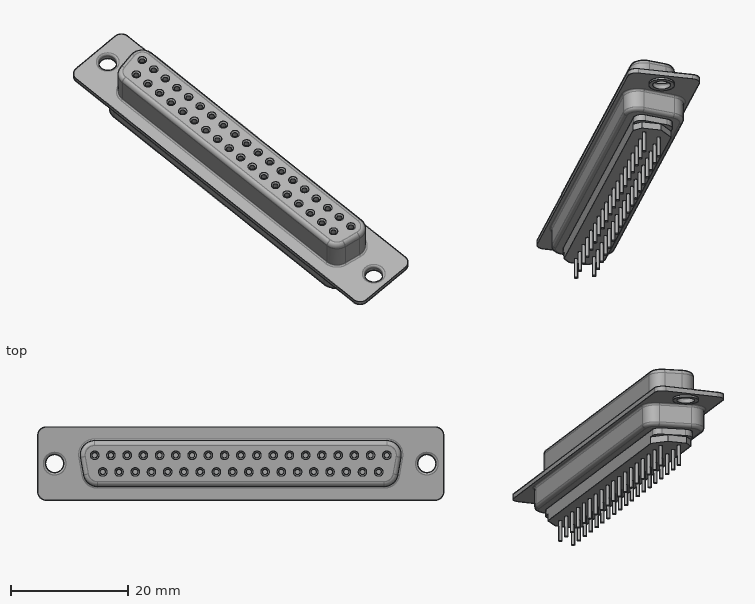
import cadquery as cq
import math

flange_length = 69.3
flange_width = 12.55
flange_thickness = 0.8
flange_corner_radius = 1.5

front_bend_radius = 0.3
rear_bend_radius = 0.35

mount_spacing = 63.5
mount_hole_diameter = 3.05
mount_mouth_radius = 0.4
collar_diameter = 4.4
collar_height = rear_bend_radius

end_slant = math.radians(10)

front_half_length = 27.4
front_width = 7.8
front_corner_radius = 2.4
front_height = 5.8
front_rim_radius = 0.8

rear_half_length = 28.6
rear_width = 10.7
rear_corner_radius = 2.55
rear_depth = 4.8
rear_rim_radius = 0.6

step_half_length = 27.1
step_width = 6.9
step_corner_radius = 1.45
step_depth = 5.9
base_half_length = 26.5
base_depth = 7.1
base_front_chamfer = 2.3
base_back_chamfer = 1.25

back_row_length = 49.85
back_row_count = 19
row_spacing = 2.85
contact_pitch = back_row_length / (back_row_count - 1)
front_row_count = back_row_count - 1
socket_mouth_diameter = 1.45
socket_diameter = 0.9
socket_mouth_angle = 90
socket_depth = 1.4
pin_diameter = 0.595
pin_tip_depth = 10.6
pin_overlap = 0.35

select_margin = 0.1


def d_prism(half_length, width, corner_radius, height):
    """D-shaped prism from Z = 0 up to height (downward when height is negative)."""
    back_centre_x = half_length - corner_radius
    centre_y = width / 2 - corner_radius
    front_centre_x = back_centre_x - 2 * centre_y * math.tan(end_slant)
    normal_x = corner_radius * math.cos(end_slant)
    normal_y = corner_radius * math.sin(end_slant)
    back_mid = (math.pi / 2 - end_slant) / 2
    front_mid = -(math.pi / 2 + end_slant) / 2

    def on_corner(centre_x, corner_y, angle):
        return (centre_x + corner_radius * math.cos(angle), corner_y + corner_radius * math.sin(angle))

    def mirrored(point):
        return (-point[0], point[1])

    back_top = (back_centre_x, width / 2)
    back_arc = on_corner(back_centre_x, centre_y, back_mid)
    back_end = (back_centre_x + normal_x, centre_y - normal_y)
    front_end = (front_centre_x + normal_x, -centre_y - normal_y)
    front_arc = on_corner(front_centre_x, -centre_y, front_mid)
    front_bottom = (front_centre_x, -width / 2)
    return (
        cq.Workplane("XY")
        .moveTo(*mirrored(back_top))
        .lineTo(*back_top)
        .threePointArc(back_arc, back_end)
        .lineTo(*front_end)
        .threePointArc(front_arc, front_bottom)
        .lineTo(*mirrored(front_bottom))
        .threePointArc(mirrored(front_arc), mirrored(front_end))
        .lineTo(*mirrored(back_end))
        .threePointArc(mirrored(back_arc), mirrored(back_top))
        .close()
        .extrude(height)
    )


def contact_points():
    """Contact centres of both rows."""
    points = []
    for count, y in ((back_row_count, row_spacing / 2), (front_row_count, -row_spacing / 2)):
        first_x = -(count - 1) * contact_pitch / 2
        points += [(first_x + i * contact_pitch, y) for i in range(count)]
    return points


def flange_plate():
    """Rounded flange with a collar and a round-mouthed hole at each end."""
    mount_points = [(-mount_spacing / 2, 0), (mount_spacing / 2, 0)]
    collar_depth = flange_thickness + collar_height
    plate = cq.Workplane("XY").rect(flange_length, flange_width).extrude(-flange_thickness)
    collars = cq.Workplane("XY").pushPoints(mount_points).circle(collar_diameter / 2).extrude(-collar_depth)
    holes = cq.Workplane("XY").pushPoints(mount_points).circle(mount_hole_diameter / 2).extrude(-collar_depth)
    drilled = plate.union(collars).cut(holes)
    mouthed = drilled.faces(">Z").edges("%CIRCLE").fillet(mount_mouth_radius)
    corner_edges = mouthed.edges("|Z and (<X or >X)")
    return corner_edges.fillet(flange_corner_radius)


def root_edges(half_length, width, level):
    """Selector for the edges of a shell outline where it meets the flange face at the given level."""
    reach_x = half_length + select_margin
    reach_y = width / 2 + select_margin
    low_corner = (-reach_x, -reach_y, level - select_margin)
    high_corner = (reach_x, reach_y, level + select_margin)
    return cq.selectors.BoxSelector(low_corner, high_corner)


def add_shells(flange):
    """Add the front and rear shells to the flange, with bends at their roots."""
    front = d_prism(front_half_length, front_width, front_corner_radius, front_height)
    front = front.faces(">Z").edges().fillet(front_rim_radius)
    rear = d_prism(rear_half_length, rear_width, rear_corner_radius, -rear_depth)
    rear = rear.faces("<Z").edges().fillet(rear_rim_radius)
    front_root = root_edges(front_half_length, front_width, 0)
    rear_root = root_edges(rear_half_length, rear_width, -flange_thickness)
    body = flange.union(front).union(rear)
    body = body.edges(front_root).fillet(front_bend_radius)
    return body.edges(rear_root).fillet(rear_bend_radius)


def insulator():
    """D-shaped step and the chamfered rectangular base below it."""
    step = d_prism(step_half_length, step_width, step_corner_radius, -step_depth)
    base = cq.Workplane("XY").rect(2 * base_half_length, step_width).extrude(-base_depth)
    base = base.edges("|Z and <Y").chamfer(base_front_chamfer)
    base = base.edges("|Z and >Y").chamfer(base_back_chamfer)
    return step.union(base)


def pins():
    """Solder pins below the base, sunk slightly into it."""
    return (
        cq.Workplane("XY", origin=(0, 0, -pin_tip_depth))
        .pushPoints(contact_points())
        .circle(pin_diameter / 2)
        .extrude(pin_tip_depth - base_depth + pin_overlap)
    )


def cut_sockets(body):
    """Cut a countersunk blind socket above each pin."""
    return (
        body.faces(">Z")
        .workplane(origin=(0, 0, front_height))
        .pushPoints(contact_points())
        .cskHole(socket_diameter, socket_mouth_diameter, socket_mouth_angle, socket_depth)
    )


body = add_shells(flange_plate()).union(insulator()).union(pins())
result = cut_sockets(body)